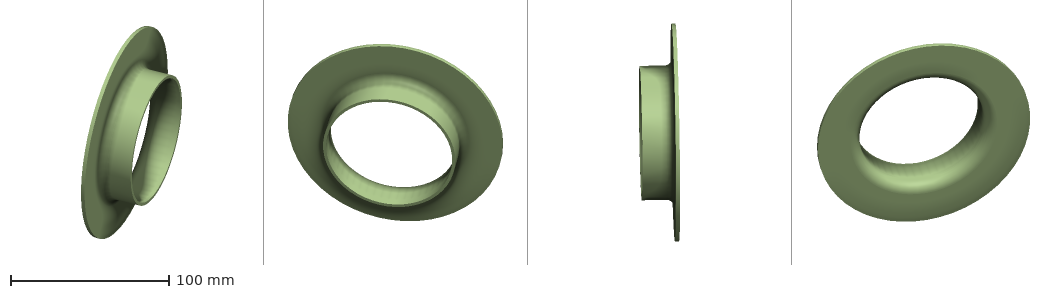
import cadquery as cq

flange_diameter = 138.0
bore_diameter = 81.0
collar_diameter = 85.0
length = 23.0

flange_thickness = 2.5
inner_flare_radius = 7.0
outer_flare_radius = 5.0

flange_radius = flange_diameter / 2
bore_radius = bore_diameter / 2
collar_radius = collar_diameter / 2
flare_end = flange_thickness + outer_flare_radius

section = (
    cq.Workplane("XY")
    .moveTo(0, bore_radius + inner_flare_radius)
    .lineTo(0, flange_radius)
    .lineTo(flange_thickness, flange_radius)
    .lineTo(flange_thickness, collar_radius + outer_flare_radius)
    .radiusArc((flare_end, collar_radius), -outer_flare_radius)
    .lineTo(length, collar_radius)
    .lineTo(length, bore_radius)
    .lineTo(inner_flare_radius, bore_radius)
    .radiusArc((0, bore_radius + inner_flare_radius), inner_flare_radius)
    .close()
)

result = section.revolve(360, (0, 0, 0), (1, 0, 0))